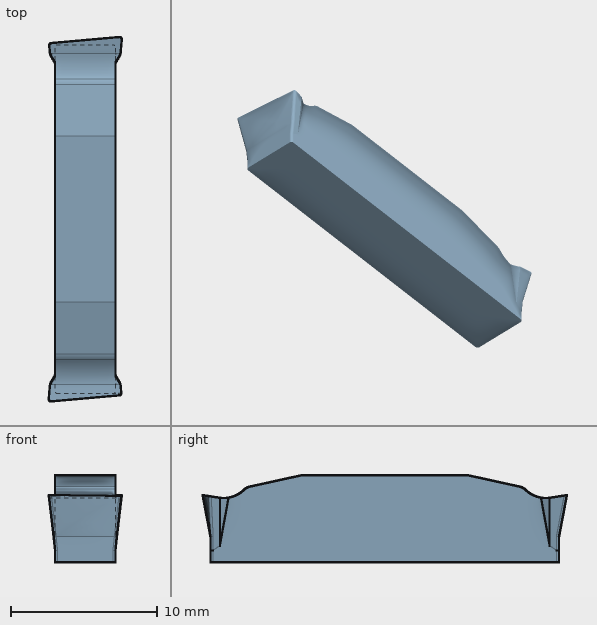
import cadquery as cq
import math

shank_width = 4.15
shank_length = 23.87
shank_corner_radius = 0.18
shank_height = 5.97

crown_half_length = 5.68
slope_end_y = 9.23
slope_end_z = 5.19
shoulder_end_y = 9.6
rake_start_y = 11.33
rake_start_z = 4.43
tip_y = 12.495
tip_z = 4.61
groove_radius = 2.0

tip_width = 5.05
lead_angle = 5.0
side_relief_angle = 4.0
flank_angle = 6.0
flare_angle = 30.0
flare_inset = 0.5
nose_radius = 0.18
side_end_y = 11.29
front_bend_z = 1.75
head_bottom_z = 0.5


def tangent(angle):
    return math.tan(math.radians(angle))


def top_profile():
    """Solid below the crown, slopes, chip grooves and rake faces, wider than the heads."""
    rake_angle = math.atan2(tip_z - rake_start_z, tip_y - rake_start_y)
    center_y = rake_start_y - groove_radius * math.sin(rake_angle)
    center_z = rake_start_z + groove_radius * math.cos(rake_angle)
    groove_start_angle = math.asin((center_y - shoulder_end_y) / groove_radius)
    groove_mid_angle = (groove_start_angle - rake_angle) / 2

    def groove_point(angle):
        y = center_y - groove_radius * math.sin(angle)
        z = center_z - groove_radius * math.cos(angle)
        return y, z

    crown_end = (crown_half_length, shank_height)
    slope_end = (slope_end_y, slope_end_z)
    groove_start = groove_point(groove_start_angle)
    groove_mid = groove_point(groove_mid_angle)
    rake_start = (rake_start_y, rake_start_z)
    half_outline = (
        cq.Workplane("YZ")
        .moveTo(0, 0)
        .lineTo(0, shank_height)
        .lineTo(*crown_end)
        .lineTo(*slope_end)
        .tangentArcPoint(groove_start, relative=False)
        .threePointArc(groove_mid, rake_start)
        .lineTo(tip_y, tip_z)
        .lineTo(tip_y, 0)
        .close()
    )
    half = half_outline.extrude(tip_width, both=True)
    return half.union(half.mirror("XZ"))


def head_section(z, left_y, right_y):
    """Closed outline of the -Y head at height z; left_y and right_y are its front corners."""
    tip_half_width = tip_width / 2 - (tip_z - z) * tangent(flank_angle)

    def side_x(y):
        return tip_half_width - (tip_y - y) * tangent(side_relief_angle)

    rear_half_width = side_x(side_end_y)
    inner_half_width = rear_half_width - flare_inset
    flare_end_y = side_end_y - flare_inset / tangent(flare_angle)
    corners = [
        (-side_x(left_y), -left_y),
        (side_x(right_y), -right_y),
        (rear_half_width, -side_end_y),
        (inner_half_width, -flare_end_y),
        (-inner_half_width, -flare_end_y),
        (-rear_half_width, -side_end_y),
    ]
    outline = cq.Wire.makePolygon([cq.Vector(x, y, z) for x, y in corners], close=True)
    noses = [v for v in outline.Vertices() if v.Y < -shank_length / 2 + nose_radius / 2]
    return outline.fillet2D(nose_radius, noses)


def cutting_head():
    """Head at the -Y end: skewed tapering upper part over a shorter part with a square front."""
    front_y = shank_length / 2
    right_y = tip_y - tip_width * tangent(lead_angle)
    top = head_section(tip_z, tip_y, right_y)
    bend = head_section(front_bend_z, front_y, front_y)
    bottom = head_section(head_bottom_z, front_y, front_y)
    upper = cq.Solid.makeLoft([top, bend], True)
    lower = cq.Solid.makeLoft([bend, bottom], True)
    return cq.Workplane(upper).union(cq.Workplane(lower))


def shank():
    """Full-height bar that carries a head at each end."""
    bar = cq.Workplane("XY").rect(shank_width, shank_length).extrude(shank_height)
    return bar.edges("|Z").fillet(shank_corner_radius)


head = cutting_head()
blank = shank()
for turn in (0, 180):
    blank = blank.union(head.rotate((0, 0, 0), (0, 0, 1), turn))

result = blank.intersect(top_profile())